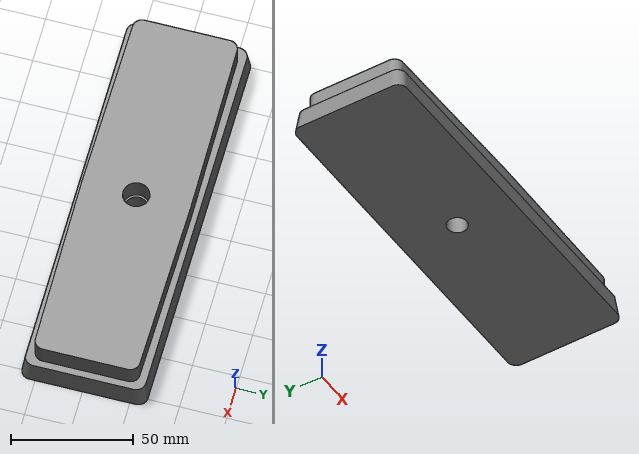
import cadquery as cq

base_length = 167.2
base_width = 53.2
base_height = 10.0
base_inset = 1.2
base_corner_radius = 4.2

total_height = 20.0
block_length = 158.8
block_end_width = 44.0
block_middle_width = 46.0
block_middle_flat = 0.5
block_corner_radius = 4.0

hole_diameter = 9.0
counterbore_diameter = 11.0
counterbore_depth = total_height - base_height


def rounded_rectangle(length, width, height):
    """Rounded rectangle sketch with the base corners, placed at the given height."""
    sketch = cq.Sketch().rect(length, width).vertices().fillet(base_corner_radius)
    return sketch.moved(cq.Location(cq.Vector(0, 0, height)))


def make_base():
    bottom = rounded_rectangle(base_length, base_width, 0)
    top = rounded_rectangle(
        base_length - 2 * base_inset, base_width - 2 * base_inset, base_height
    )
    return cq.Workplane("XY").placeSketch(bottom, top).loft()


def make_block():
    half_length = block_length / 2
    half_end = block_end_width / 2
    half_middle = block_middle_width / 2
    half_flat = block_middle_flat / 2
    outline = [
        (-half_length, -half_end),
        (-half_flat, -half_middle),
        (half_flat, -half_middle),
        (half_length, -half_end),
        (half_length, half_end),
        (half_flat, half_middle),
        (-half_flat, half_middle),
        (-half_length, half_end),
    ]
    block = (
        cq.Workplane("XY")
        .workplane(offset=base_height)
        .polyline(outline)
        .close()
        .extrude(total_height - base_height)
    )
    return block.faces("<X or >X").edges("|Z").fillet(block_corner_radius)


result = (
    make_base()
    .union(make_block())
    .faces(">Z")
    .workplane(origin=(0, 0, total_height))
    .cboreHole(hole_diameter, counterbore_diameter, counterbore_depth)
)